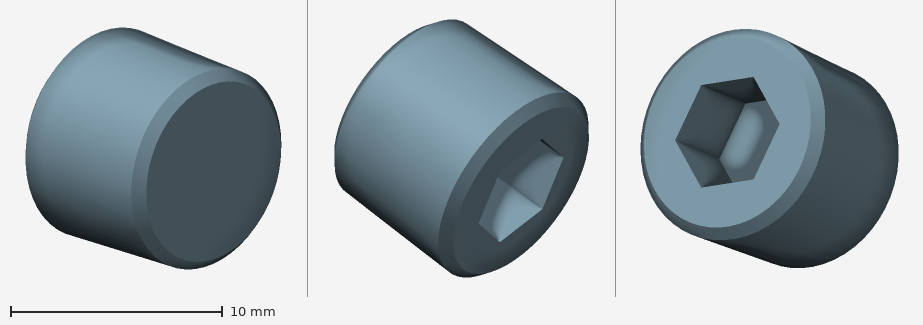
import cadquery as cq
import math

length = 8.0
large_diameter = 10.25
taper = 1 / 16
chamfer = 0.5
hex_across_flats = 5.0
hex_depth = 4.0


def cone_radius(x):
    """Radius of the tapered side at position x along the axis."""
    return (large_diameter - taper * x) / 2


def make_body():
    """Revolve the tapered, chamfered half profile about the X axis."""
    large_edge_x = chamfer
    small_edge_x = length - chamfer
    large_edge_radius = cone_radius(large_edge_x)
    small_edge_radius = cone_radius(small_edge_x)
    profile = [
        (0, 0),
        (0, large_edge_radius - chamfer),
        (large_edge_x, large_edge_radius),
        (small_edge_x, small_edge_radius),
        (length, small_edge_radius - chamfer),
        (length, 0),
    ]
    return cq.Workplane("XY").polyline(profile).close().revolve(360, (0, 0, 0), (1, 0, 0))


def make_hex_socket():
    """Hexagonal prism with two corners on the Y axis, running inward from X = 0."""
    across_corners = hex_across_flats / math.cos(math.pi / 6)
    return cq.Workplane("YZ").polygon(6, across_corners).extrude(hex_depth)


result = make_body().cut(make_hex_socket())